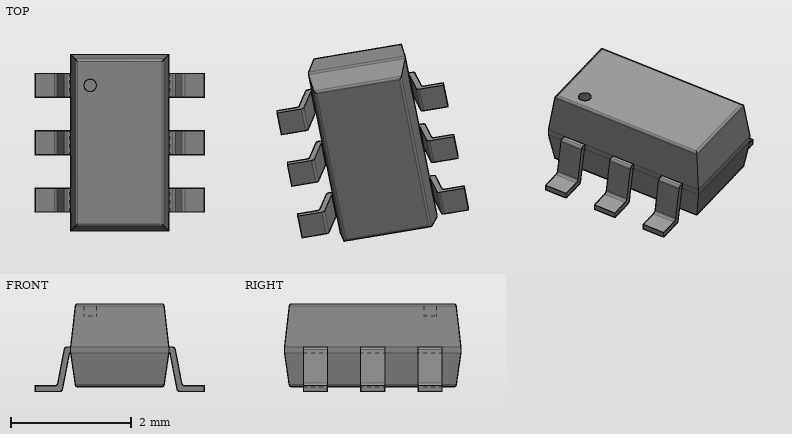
import cadquery as cq
import math

SPAN_X = 2.8
TOTAL_HEIGHT = 1.45

HOUSING_X = 1.625
HOUSING_Y = 2.92
STANDOFF = 0.08
FACE_INSET = 0.082
EDGE_RADIUS = 0.04

MARK_DIAMETER = 0.205
MARK_DEPTH = 0.2
MARK_FROM_SIDE_X = 0.325
MARK_FROM_SIDE_Y = 0.51

LEAD_THICKNESS = 0.1
LEAD_WIDTH = 0.4
LEAD_PITCH = 0.95
LEADS_PER_SIDE = 3
LEAD_TOP = 0.74
LEAD_SLOPE_ANGLE = 11.0
FOOT_LENGTH = 0.365
BEND_RADIUS = 0.05

BAND_TOP = LEAD_TOP
BAND_BOTTOM = LEAD_TOP - LEAD_THICKNESS
WALL_X = HOUSING_X / 2
FOOT_END_X = SPAN_X / 2


def tapered_block(start_z, end_z):
    """Block from the band outline at start_z to the inset outline at end_z, with a rounded far edge."""
    height = abs(end_z - start_z)
    plane_normal = (0, 0, math.copysign(1, end_z - start_z))
    block_plane = cq.Plane(origin=(0, 0, start_z), xDir=(1, 0, 0), normal=plane_normal)
    far_face = ">Z" if end_z > start_z else "<Z"
    return (
        cq.Workplane(block_plane)
        .rect(HOUSING_X, HOUSING_Y)
        .extrude(height, taper=math.degrees(math.atan(FACE_INSET / height)))
        .faces(far_face)
        .edges()
        .fillet(EDGE_RADIUS)
    )


def make_housing():
    band = cq.Workplane("XY", origin=(0, 0, BAND_BOTTOM)).rect(HOUSING_X, HOUSING_Y).extrude(LEAD_THICKNESS)
    upper = tapered_block(BAND_TOP, TOTAL_HEIGHT)
    lower = tapered_block(BAND_BOTTOM, STANDOFF)
    mark = (
        cq.Workplane("XY", origin=(0, 0, TOTAL_HEIGHT))
        .center(MARK_FROM_SIDE_X - WALL_X, HOUSING_Y / 2 - MARK_FROM_SIDE_Y)
        .circle(MARK_DIAMETER / 2)
        .extrude(-MARK_DEPTH)
    )
    return band.union(upper).union(lower).cut(mark)


def make_lead(side, center_y):
    """One lead on the +X (side = 1) or -X (side = -1) wall, butting against the housing band."""
    slope = math.radians(LEAD_SLOPE_ANGLE)
    rise = LEAD_TOP - LEAD_THICKNESS
    run = rise * math.tan(slope)
    corner_shift = LEAD_THICKNESS * math.tan(math.pi / 4 - slope / 2)
    foot_corner_x = FOOT_END_X - FOOT_LENGTH
    shoulder_corner_x = foot_corner_x - run
    outline = [
        (FOOT_END_X, 0),
        (FOOT_END_X, LEAD_THICKNESS),
        (foot_corner_x, LEAD_THICKNESS),
        (shoulder_corner_x, LEAD_TOP),
        (WALL_X, LEAD_TOP),
        (WALL_X, BAND_BOTTOM),
        (shoulder_corner_x - corner_shift, BAND_BOTTOM),
        (foot_corner_x - corner_shift, 0),
    ]
    bend_corners = [outline[2], outline[3], outline[7]]
    lead = (
        cq.Workplane("XZ", origin=(0, center_y + LEAD_WIDTH / 2, 0))
        .polyline([(side * x, z) for x, z in outline])
        .close()
        .extrude(LEAD_WIDTH)
    )
    for x, z in bend_corners:
        bend_edge = cq.selectors.NearestToPointSelector((side * x, center_y, z))
        lead = lead.edges("|Y").edges(bend_edge).fillet(BEND_RADIUS)
    return lead


housing = make_housing()
lead_positions_y = [(i - (LEADS_PER_SIDE - 1) / 2) * LEAD_PITCH for i in range(LEADS_PER_SIDE)]
leads = [make_lead(side, y).val() for side in (-1, 1) for y in lead_positions_y]

result = cq.Compound.makeCompound([housing.val(), *leads])